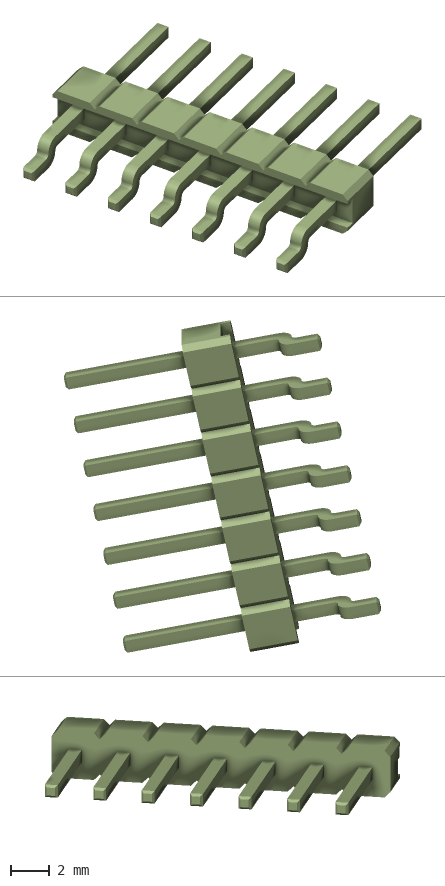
import cadquery as cq

PIN_COUNT = 7
TOTAL_LENGTH = 17.78
PITCH = TOTAL_LENGTH / PIN_COUNT

HOUSING_DEPTH = 2.55
HOUSING_HEIGHT = 2.5
NOTCH_SIZE = 0.3
LIP_THICKNESS = 0.5
RECESS_DEPTH = 0.5

PIN_SIZE = 0.68
REAR_REACH = 6.38
FRONT_REACH = 4.52
RISER_REACH = 3.04
TIP_CHAMFER = 0.12

SHANK_BOTTOM = (HOUSING_HEIGHT - PIN_SIZE) / 2
SHANK_TOP = SHANK_BOTTOM + PIN_SIZE
SHANK_MIDDLE = HOUSING_HEIGHT / 2
REAR_END = HOUSING_DEPTH + REAR_REACH
FOOT_END = -FRONT_REACH
RISER_FRONT = -RISER_REACH
RISER_REAR = RISER_FRONT + PIN_SIZE
OUTER_BEND_RADIUS = PIN_SIZE
INNER_BEND_RADIUS = SHANK_BOTTOM - OUTER_BEND_RADIUS
PIN_CENTERS = [(i + 0.5) * PITCH - TOTAL_LENGTH / 2 for i in range(PIN_COUNT)]


def box(x_center, size_x, y_min, y_max, z_center, size_z):
    """Box given by its X and Z centres and its Y range."""
    return (
        cq.Workplane("XY")
        .box(size_x, y_max - y_min, size_z)
        .translate((x_center, (y_min + y_max) / 2, z_center))
    )


def make_housing():
    """Strip with V-notches between pin cells, a front recess and square pin holes."""
    half_flat = PITCH / 2 - NOTCH_SIZE
    upper_edge = HOUSING_HEIGHT - NOTCH_SIZE
    top = []
    bottom = []
    for center in PIN_CENTERS:
        cell_end = center + PITCH / 2
        top += [
            (center - half_flat, HOUSING_HEIGHT),
            (center + half_flat, HOUSING_HEIGHT),
            (cell_end, upper_edge),
        ]
        bottom += [
            (center - half_flat, 0),
            (center + half_flat, 0),
            (cell_end, NOTCH_SIZE),
        ]
    left = -TOTAL_LENGTH / 2
    outline = [(left, upper_edge)] + top + bottom[::-1] + [(left, NOTCH_SIZE)]
    body = cq.Workplane("XZ").polyline(outline).close().extrude(-HOUSING_DEPTH)

    recess_height = HOUSING_HEIGHT - 2 * LIP_THICKNESS
    body = body.cut(box(0, TOTAL_LENGTH, 0, RECESS_DEPTH, SHANK_MIDDLE, recess_height))
    for center in PIN_CENTERS:
        body = body.cut(box(center, PIN_SIZE, 0, HOUSING_DEPTH, SHANK_MIDDLE, PIN_SIZE))
    return body


def make_pin(x_center):
    """One bent square pin with chamfered ends."""
    profile = (
        cq.Workplane("YZ")
        .moveTo(REAR_END, SHANK_TOP)
        .lineTo(RISER_FRONT + OUTER_BEND_RADIUS, SHANK_TOP)
        .radiusArc((RISER_FRONT, SHANK_TOP - OUTER_BEND_RADIUS), -OUTER_BEND_RADIUS)
        .radiusArc((RISER_FRONT - INNER_BEND_RADIUS, PIN_SIZE), INNER_BEND_RADIUS)
        .lineTo(FOOT_END, PIN_SIZE)
        .lineTo(FOOT_END, 0)
        .lineTo(RISER_REAR - OUTER_BEND_RADIUS, 0)
        .radiusArc((RISER_REAR, OUTER_BEND_RADIUS), -OUTER_BEND_RADIUS)
        .radiusArc((RISER_REAR + INNER_BEND_RADIUS, SHANK_BOTTOM), INNER_BEND_RADIUS)
        .lineTo(REAR_END, SHANK_BOTTOM)
        .close()
    )
    wire = profile.extrude(PIN_SIZE / 2, both=True)
    wire = wire.faces("<Y or >Y").chamfer(TIP_CHAMFER)
    return wire.translate((x_center, 0, 0))


housing = make_housing()
pins = [make_pin(center) for center in PIN_CENTERS]

result = cq.Compound.makeCompound([housing.val(), *[pin.val() for pin in pins]])